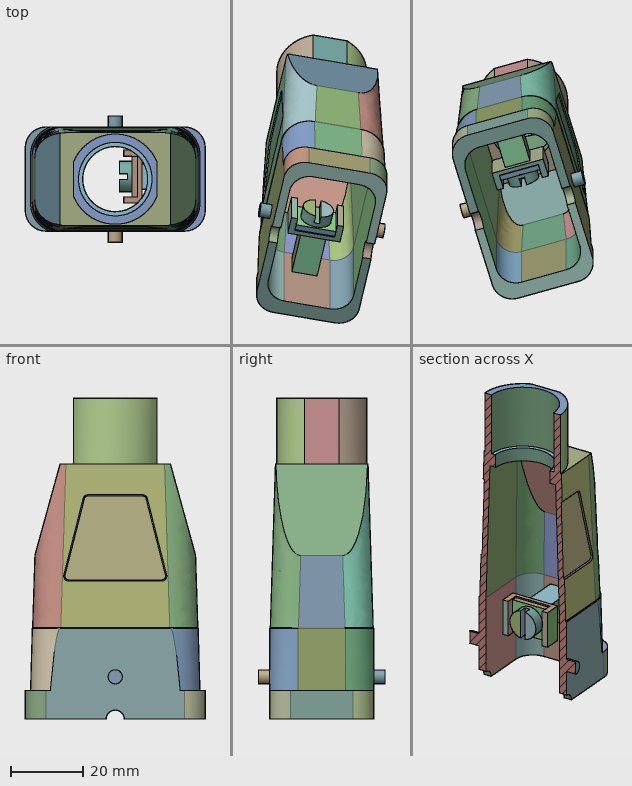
import cadquery as cq
import math

total_height = 88.9
flange_length = 49.9
flange_width = 28.9
flange_height = 8
flange_corner_radius = 5.8

seam_height = 25.4
shoulder_height = 45.3
roof_height = 70.7
bevel_height = 0.3
lower_bottom_length = 46.9
lower_top_length = 46.0
upper_bottom_length = 45.8
upper_bottom_width = 28.5
roof_length = 30.6
upper_taper = 2.85
corner_radius = 7.8

wall = 2.2
roof_thickness = 4.0
neck_diameter = 25.0
neck_flat_distance = 23.1
neck_bore_diameter = 20.4
cable_hole_diameter = 18.0

pin_diameter = 3.9
pin_span = 35.0
pin_height = 11.7
notch_diameter = 5.0

recess_bottom = 38.2
recess_top = 62.1
recess_bottom_length = 29.3
recess_top_length = 17.25
recess_corner_radius = 1.4
recess_depth = 0.4
recess_wall_angle = 45

terminal_y = 0.7
terminal_height = 19.6
channel_size_z = 10.7
plate_size_z = 9.8
post_size_z = 7.1
channel_front = 2.3
channel_floor = 6.2
channel_back = 7.5
channel_width = 14.8
channel_gap = 11.2
plate_front = 4.6
post_width = 7.1
screw_front = 1.2
screw_diameter = 8.5
slot_width = 1.5
slot_depth = 2.2


def rounded_block(length, width, radius, bottom, height):
    """Upright block with rounded vertical edges."""
    block = cq.Workplane("XY").box(length, width, height, centered=(True, True, False))
    return block.edges("|Z").fillet(radius).translate((0, 0, bottom))


def tapered_block(bottom_section, top_section, bottom, top):
    """Loft between two rounded rectangles, each given as (length, width, radius)."""
    def outline(section, z):
        length, width, radius = section
        sketch = cq.Sketch().rect(length, width).vertices().fillet(radius)
        return sketch.moved(cq.Location(cq.Vector(0, 0, z)))

    sections = outline(bottom_section, bottom), outline(top_section, top)
    return cq.Workplane("XY").placeSketch(*sections).loft(ruled=True)


def box_between(x_start, x_end, width_y, height_z):
    """Box of the earth terminal, centred on the terminal in Y and Z."""
    box = cq.Workplane("XY").box(x_end - x_start, width_y, height_z, centered=(False, True, True))
    return box.translate((x_start, terminal_y, terminal_height))


def upper_section(inset, top):
    """Upper housing with its sloped shoulders; inset moves every side wall inwards."""
    taper = upper_taper * (top - seam_height) / (roof_height - seam_height)
    length = upper_bottom_length - 2 * inset
    width = upper_bottom_width - 2 * inset
    radius = corner_radius - inset
    body = tapered_block(
        (length, width, radius), (length - taper, width - taper, radius), seam_height, top)

    shoulder_taper = upper_taper * (shoulder_height - seam_height) / (roof_height - seam_height)
    shoulder_x = (upper_bottom_length - shoulder_taper) / 2 - inset
    roof_x = roof_length / 2 - inset
    side_profile = [
        (-flange_length, seam_height), (flange_length, seam_height),
        (flange_length, shoulder_height), (shoulder_x, shoulder_height),
        (roof_x, roof_height), (-roof_x, roof_height),
        (-shoulder_x, shoulder_height), (-flange_length, shoulder_height),
    ]
    envelope = cq.Workplane("XZ").polyline(side_profile).close().extrude(flange_width, both=True)
    return body.intersect(envelope)


def lower_section():
    """Lower housing, its broad faces trimmed flush with the flange."""
    spread = lower_bottom_length - lower_top_length
    top_section = (lower_top_length, flange_width, corner_radius)
    bottom_section = (lower_bottom_length, flange_width + spread, corner_radius + spread / 2)
    bevel_start = seam_height - bevel_height
    body = tapered_block(bottom_section, top_section, flange_height, bevel_start)
    upper_outline = (upper_bottom_length, upper_bottom_width, corner_radius)
    bevel = tapered_block(top_section, upper_outline, bevel_start, seam_height)
    trim = cq.Workplane("XY").box(flange_length, flange_width, 2 * total_height)
    return body.union(bevel).intersect(trim)


def neck():
    height = total_height - roof_height
    tube = cq.Workplane("XY").workplane(offset=roof_height).circle(neck_diameter / 2).extrude(height)
    flats = cq.Workplane("XY").box(neck_flat_distance, flange_width, 2 * total_height)
    return tube.intersect(flats)


def cavity():
    lower = rounded_block(
        upper_bottom_length - 2 * wall, upper_bottom_width - 2 * wall, corner_radius - wall,
        0, seam_height)
    return lower.union(upper_section(wall, roof_height - roof_thickness))


def bore(diameter, bottom):
    hole = cq.Workplane("XY").workplane(offset=bottom)
    return hole.circle(diameter / 2).extrude(total_height - bottom)


def label_recess():
    """Recess in the -Y face, its floor parallel to the drafted face."""
    draft = math.atan(upper_taper / 2 / (roof_height - seam_height))
    seam_plane = cq.Plane(
        origin=(0, -upper_bottom_width / 2, seam_height),
        xDir=(1, 0, 0),
        normal=(0, -math.cos(draft), math.sin(draft)))
    low = (recess_bottom - seam_height) / math.cos(draft)
    high = (recess_top - seam_height) / math.cos(draft)
    half_low = recess_bottom_length / 2
    half_high = recess_top_length / 2
    corners = [(-half_low, low), (half_low, low), (half_high, high), (-half_high, high)]
    outline = cq.Sketch().polygon(corners + corners[:1]).vertices().fillet(recess_corner_radius)
    return cq.Workplane(seam_plane).placeSketch(outline).extrude(-recess_depth, taper=recess_wall_angle)


def locking_pins():
    """Pins on both broad faces, ending inside the walls."""
    rod = cq.Workplane("XZ").center(0, pin_height).circle(pin_diameter / 2).extrude(pin_span / 2, both=True)
    inner_gap = cq.Workplane("XY").box(flange_length, flange_width - 2 * wall, 2 * total_height)
    return rod.cut(inner_gap)


def earth_terminal():
    channel = box_between(channel_front, channel_back, channel_width, channel_size_z)
    channel = channel.cut(box_between(channel_front, channel_floor, channel_gap, channel_size_z))
    plate = box_between(plate_front, channel_floor, channel_gap, plate_size_z)
    post = box_between(channel_back, upper_bottom_length / 2 - wall / 2, post_width, post_size_z)
    screw = cq.Workplane("YZ", origin=(screw_front, terminal_y, terminal_height))
    screw = screw.circle(screw_diameter / 2).extrude(plate_front - screw_front)
    slot = box_between(screw_front, screw_front + slot_depth, slot_width, screw_diameter)
    return channel.union(plate).union(post).union(screw.cut(slot))


flange = rounded_block(flange_length, flange_width, flange_corner_radius, 0, flange_height)
result = flange.union(lower_section()).union(upper_section(0, roof_height)).union(neck())
front_recess = label_recess()
result = result.cut(front_recess).cut(front_recess.mirror("XZ"))

result = result.cut(cavity())
result = result.cut(bore(neck_bore_diameter, roof_height))
result = result.cut(bore(cable_hole_diameter, shoulder_height))

notches = cq.Workplane("XZ").circle(notch_diameter / 2).extrude(flange_width, both=True)
result = result.cut(notches).union(locking_pins()).union(earth_terminal())